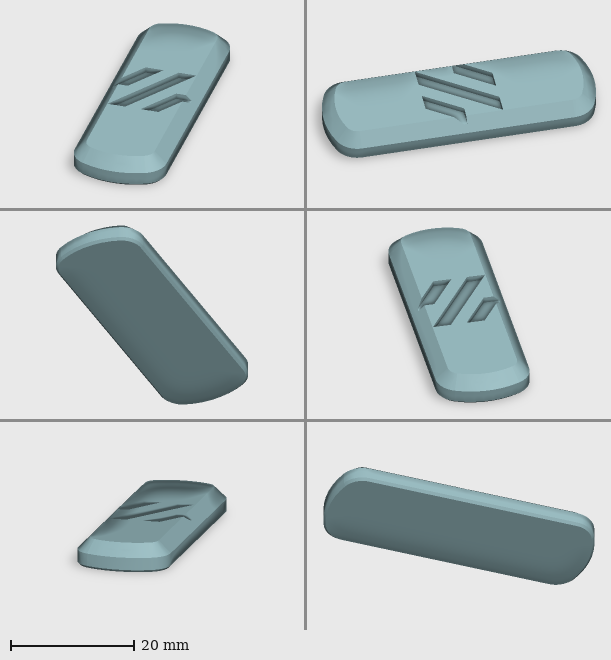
import cadquery as cq
import math

length = 44.8
width = 15.5
height = 4.5
end_radius = 13.45
corner_radius = 4.0
top_chamfer = 2.0
bottom_chamfer = 0.4

stripe_depth = 1.0
stripe_width = 3.0
stripe_pitch = 5.6
stripe_half_span = 6.15
stripe_half_shift = 4.19


def body_outline():
    """Long outline with bowed ends, blended into the sides by tangent corner arcs."""
    half_width = width / 2
    half_length = length / 2
    end_center_y = half_length - end_radius
    corner_x = half_width - corner_radius
    center_distance = end_radius - corner_radius
    corner_y = end_center_y + math.sqrt(center_distance**2 - corner_x**2)

    tangent_angle = math.atan2(corner_y - end_center_y, corner_x)
    tangent_x = end_radius * math.cos(tangent_angle)
    tangent_y = end_center_y + end_radius * math.sin(tangent_angle)
    corner_mid_x = corner_x + corner_radius * math.cos(tangent_angle / 2)
    corner_mid_y = corner_y + corner_radius * math.sin(tangent_angle / 2)

    return (
        cq.Workplane("XY")
        .moveTo(half_width, -corner_y)
        .lineTo(half_width, corner_y)
        .threePointArc((corner_mid_x, corner_mid_y), (tangent_x, tangent_y))
        .threePointArc((0, half_length), (-tangent_x, tangent_y))
        .threePointArc((-corner_mid_x, corner_mid_y), (-half_width, corner_y))
        .lineTo(-half_width, -corner_y)
        .threePointArc((-corner_mid_x, -corner_mid_y), (-tangent_x, -tangent_y))
        .threePointArc((0, -half_length), (tangent_x, -tangent_y))
        .threePointArc((corner_mid_x, -corner_mid_y), (half_width, -corner_y))
        .close()
    )


def stripe(offset_x, y_low, y_high):
    """Cutter for one slanted stripe whose center line crosses y = 0 at offset_x."""
    slant = stripe_half_shift / stripe_half_span
    x_low = offset_x + slant * y_low - stripe_width / 2
    x_high = offset_x + slant * y_high - stripe_width / 2
    corners = [
        (x_low, y_low),
        (x_low + stripe_width, y_low),
        (x_high + stripe_width, y_high),
        (x_high, y_high),
    ]
    return (
        cq.Workplane("XY", origin=(0, 0, height - stripe_depth))
        .polyline(corners)
        .close()
        .extrude(stripe_depth)
    )


body = body_outline().extrude(height)
body = body.faces(">Z").chamfer(top_chamfer)
body = body.faces("<Z").chamfer(bottom_chamfer)

result = (
    body
    .cut(stripe(0, -stripe_half_span, stripe_half_span))
    .cut(stripe(-stripe_pitch, 0, stripe_half_span))
    .cut(stripe(stripe_pitch, -stripe_half_span, 0))
)